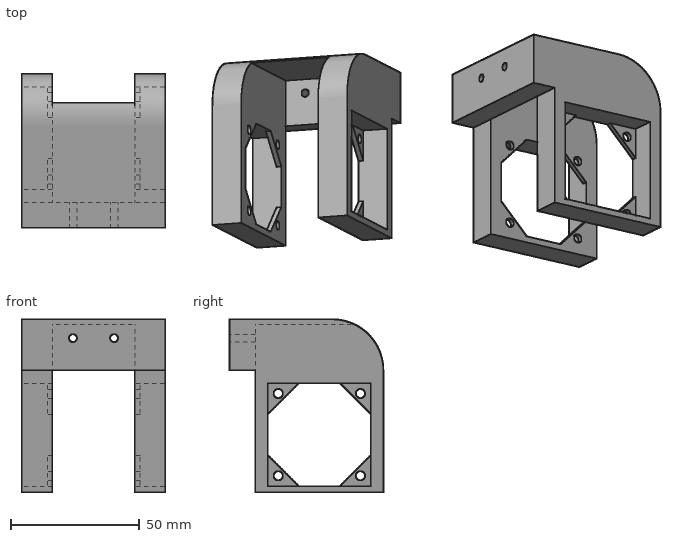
import cadquery as cq

width = 56.0
depth = 60.0
height = 67.5

head_height = 20.0
back_radius = 20.0
front_overhang = 10.0
leg_width = 12.0
roof_thickness = 2.0
head_bottom = height - head_height
leg_gap = width - 2 * leg_width
leg_center_offset = (width - leg_width) / 2

window_size = 40.0
window_floor = 2.5
window_center_y = front_overhang + (depth - front_overhang) / 2
window_center_z = window_floor + window_size / 2
tab_leg = 12.0
tab_thickness = 2.0
fan_hole_spacing = 32.0
fan_hole_diameter = 3.5

head_hole_diameter = 3.0
head_hole_spacing = 16.0
head_hole_height = 12.6


def make_body():
    """Side profile with the rounded upper back edge, extruded over the full width."""
    profile = (
        cq.Workplane("YZ")
        .moveTo(front_overhang, 0)
        .lineTo(depth, 0)
        .lineTo(depth, height - back_radius)
        .radiusArc((depth - back_radius, height), -back_radius)
        .lineTo(0, height)
        .lineTo(0, head_bottom)
        .lineTo(front_overhang, head_bottom)
        .close()
    )
    return profile.extrude(width / 2, both=True)


def cut_leg_gap(body):
    """Open the space between the legs, up to the roof and out through the rounded back."""
    gap = (
        cq.Workplane("XY")
        .box(leg_gap, depth - front_overhang, height - roof_thickness, centered=(True, False, False))
        .translate((0, front_overhang, 0))
    )
    return body.cut(gap)


def make_corner_tab(side, y_sign, z_sign):
    """Triangular tab in one window corner, flush with the inner face of its leg."""
    corner_y = window_center_y + y_sign * window_size / 2
    corner_z = window_center_z + z_sign * window_size / 2
    return (
        cq.Workplane("YZ", origin=(side * leg_gap / 2, 0, 0))
        .moveTo(corner_y, corner_z)
        .lineTo(corner_y - y_sign * tab_leg, corner_z)
        .lineTo(corner_y, corner_z - z_sign * tab_leg)
        .close()
        .extrude(side * tab_thickness)
    )


def make_window_cutter(side):
    """Square opening through one leg, less the four corner tabs."""
    cutter = (
        cq.Workplane("XY")
        .box(leg_width, window_size, window_size)
        .translate((side * leg_center_offset, window_center_y, window_center_z))
    )
    for y_sign in (-1, 1):
        for z_sign in (-1, 1):
            cutter = cutter.cut(make_corner_tab(side, y_sign, z_sign))
    return cutter


def make_fan_holes():
    """Four fan screw holes running across both legs."""
    return (
        cq.Workplane("YZ", origin=(0, window_center_y, window_center_z))
        .rect(fan_hole_spacing, fan_hole_spacing, forConstruction=True)
        .vertices()
        .circle(fan_hole_diameter / 2)
        .extrude(width / 2, both=True)
    )


def make_head_holes():
    """Two parallel holes along Y through the front wall of the head."""
    return (
        cq.Workplane("XZ", origin=(0, 0, head_bottom + head_hole_height))
        .pushPoints([(-head_hole_spacing / 2, 0), (head_hole_spacing / 2, 0)])
        .circle(head_hole_diameter / 2)
        .extrude(-front_overhang)
    )


result = cut_leg_gap(make_body())
for leg_side in (-1, 1):
    result = result.cut(make_window_cutter(leg_side))
result = result.cut(make_fan_holes()).cut(make_head_holes())